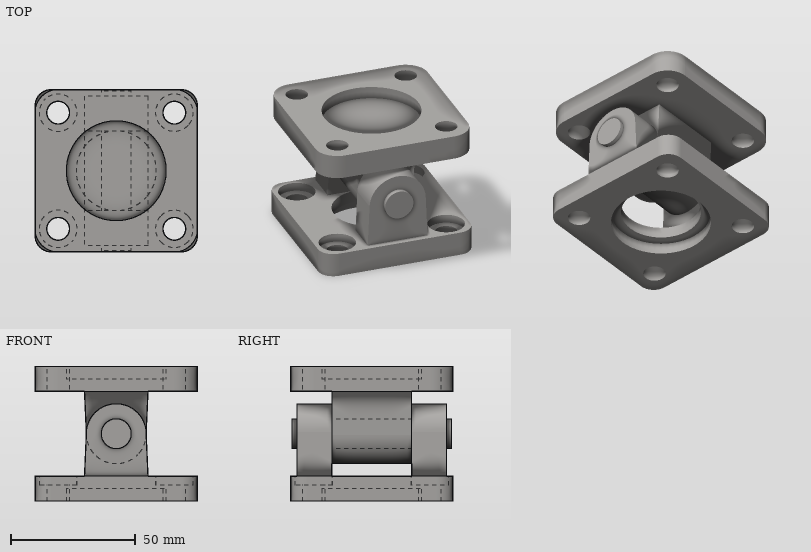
import cadquery as cq
import math

plate_size = 65.0
plate_thickness = 10.0
total_height = 54.0
pivot_z = total_height / 2
top_plate_z = total_height - plate_thickness

hole_spacing = 46.5
hole_diameter = 9.0
counterbore_diameter = 15.0
counterbore_depth = 3.5

top_corner_radius = (plate_size - hole_spacing) / 2
base_corner_radius = 6.5

recess_diameter = 40.0
recess_depth = 5.0
opening_diameter = 32.0

lug_radius = 12.0
lug_taper = math.radians(2.5)
lugs_length = 60.0
tongue_width = 32.0
lug_width = (lugs_length - tongue_width) / 2
pin_diameter = 12.0
pin_length = 64.0


def plate(bottom_z, corner_radius):
    """Square plate with rounded corners and four through holes."""
    return (
        cq.Workplane("XY", origin=(0, 0, bottom_z))
        .rect(plate_size, plate_size)
        .extrude(plate_thickness)
        .edges("|Z")
        .fillet(corner_radius)
        .faces(">Z")
        .workplane()
        .rect(hole_spacing, hole_spacing, forConstruction=True)
        .vertices()
        .hole(hole_diameter)
    )


def disc(diameter, bottom_z, height):
    """Upright cylinder on the central axis."""
    return cq.Workplane("XY", origin=(0, 0, bottom_z)).circle(diameter / 2).extrude(height)


def pivot_rod(diameter, length):
    """Cylinder on the pivot axis, centred on Y = 0."""
    return cq.Workplane("XZ", origin=(0, 0, pivot_z)).circle(diameter / 2).extrude(length / 2, both=True)


def lug(center_y, width, plate_face_z):
    """Round-ended lug whose flanks run tangent from the round end out to a plate face."""
    reach = abs(pivot_z - plate_face_z)
    toward_plate = math.copysign(1, plate_face_z - pivot_z)
    tangent_x = lug_radius * math.cos(lug_taper)
    tangent_z = -toward_plate * lug_radius * math.sin(lug_taper)
    root_x = lug_radius / math.cos(lug_taper) + reach * math.tan(lug_taper)
    root_z = toward_plate * reach
    return (
        cq.Workplane("XZ", origin=(0, center_y, pivot_z))
        .moveTo(-root_x, root_z)
        .lineTo(-tangent_x, tangent_z)
        .threePointArc((0, -toward_plate * lug_radius), (tangent_x, tangent_z))
        .lineTo(root_x, root_z)
        .close()
        .extrude(width / 2, both=True)
    )


def make_clevis():
    """Base plate with two lugs and the pin fixed in them."""
    counterbores = (
        cq.Workplane("XY", origin=(0, 0, plate_thickness))
        .rect(hole_spacing, hole_spacing, forConstruction=True)
        .vertices()
        .circle(counterbore_diameter / 2)
        .extrude(-counterbore_depth)
    )
    body = plate(0, base_corner_radius).cut(counterbores)
    for side in (-1, 1):
        body = body.union(lug(side * (tongue_width + lug_width) / 2, lug_width, plate_thickness))
    body = body.cut(disc(opening_diameter, 0, plate_thickness))
    body = body.cut(disc(recess_diameter, 0, recess_depth))
    return body.union(pivot_rod(pin_diameter, pin_length))


def make_tongue():
    """Upper plate with a single lug, bored for the pin."""
    body = plate(top_plate_z, top_corner_radius)
    body = body.union(lug(0, tongue_width, top_plate_z))
    body = body.cut(disc(recess_diameter, total_height - recess_depth, recess_depth))
    return body.cut(pivot_rod(pin_diameter, tongue_width))


clevis = make_clevis()
tongue = make_tongue()

result = cq.Compound.makeCompound([clevis.val(), tongue.val()])